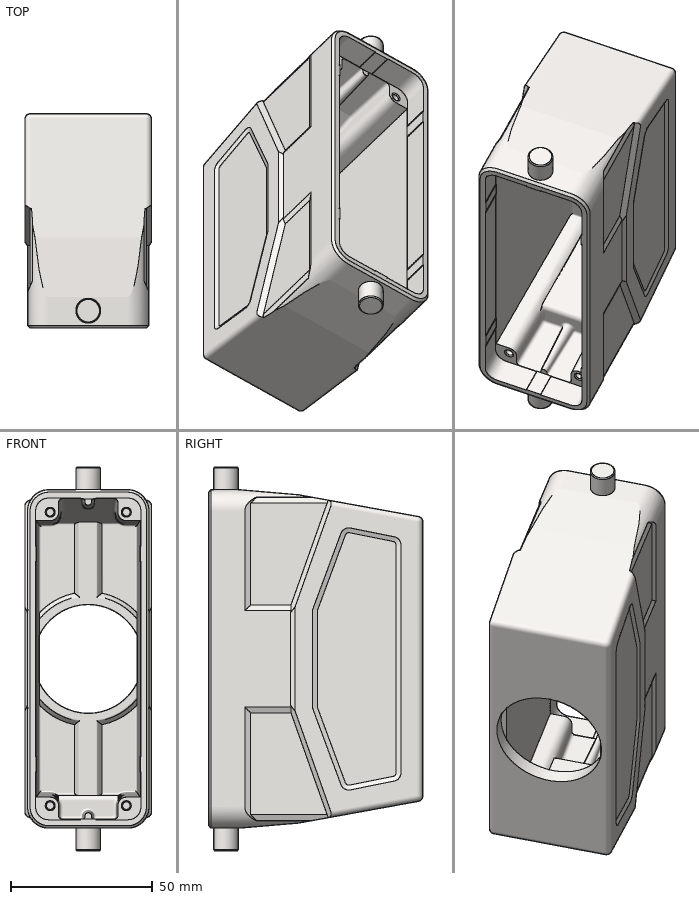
import cadquery as cq
import math

length = 76.0
rear_width = 45.0
front_width = 43.0
front_height = 120.0
corner_radius = 7.5
rim_chamfer = 0.9
far = 100.0

straight_length = 11.0
bend_y = 32.0
bend_half_height = 58.2
rear_half_height = 50.2
rear_round = 2.0

panel_tip_y = 30.7
panel_tip_half_height = 18.5
panel_slant = 0.355
panel_slant_edge_run = 1.7
panel_tip_edge_run = 3.1

recess_wall_angle = 66.0
recess_wall_run = 1.7

pocket_floor_x = 20.6
pocket_floor_front_y = 14.9
pocket_floor_low_z = 19.1
pocket_edge_x = 19.7
pocket_edge_z = 57.2
pocket_floor_high_z = 55.2

field_rear_y = 68.2
field_rear_half_height = 42.8
field_peak_y = 47.8
field_peak_half_height = 46.9
field_tip_y = 36.9
field_tip_half_height = 17.5
field_corner_radius = 3.0

mouth_half_width = 18.65
mouth_half_height = 57.0
mouth_depth = 9.2
mouth_corner_radius = 4.5
floor_y = 73.0
floor_half_width = 17.3
floor_half_height = 48.0
chamber_step = 0.2
chamber_slope_y = 30.0
floor_round = 0.6
boss_root_round = 1.3
ledge_root_round = 1.0
tab_root_round = 0.8

pad_width = 5.5
pad_height = 0.25
side_pad_z = 37.3

screw_x = 13.5
screw_z = 52.0
boss_radius = 3.0
boss_draft = 1.5
boss_inner_x = screw_x - boss_radius
boss_inner_z = screw_z - boss_radius
screw_diameter = 2.7
screw_countersink_diameter = 3.5
screw_depth = 15.0
tab_half_width = 1.2
tab_tip_z = 54.5
tab_draft = 2.2
ledge_y = 31.0
ledge_top_z = -48.4
ledge_round = 1.9

cable_diameter = 38.5
collar_radius = 22.2
rib_half_width = 3.2
rib_height = 2.5
rib_draft = 33.0
rib_round = 0.5

pin_diameter = 8.8
pin_y = 6.2
pin_end_z = 68.0
pin_chamfer = 0.4


def mirrored_outline(upper):
    """Close a (Y, Z) outline from its upper half points."""
    return upper + [(y, -z) for y, z in reversed(upper)]


def mirrored_both_sides(shape):
    """Return the shape together with its mirror image across X = 0."""
    return shape.union(shape.mirror("YZ"))


def mirrored_both_ends(shape):
    """Return the shape together with its mirror image across Z = 0."""
    return shape.union(shape.mirror("XY"))


def rounded_block(half_width, half_height, radius, depth):
    """Block along +Y from the mouth plane with rounded lengthwise edges."""
    block = cq.Workplane("XY").box(2 * half_width, depth, 2 * half_height)
    return block.edges("|Y").fillet(radius).translate((0, depth / 2, 0))


def hull():
    """Side silhouette over the full width, rounded around the cable end."""
    upper = [
        (0, front_height / 2),
        (straight_length, front_height / 2),
        (bend_y, bend_half_height),
        (length, rear_half_height),
    ]
    body = cq.Workplane("YZ").polyline(mirrored_outline(upper)).close().extrude(rear_width / 2, both=True)
    rear_edges = cq.selectors.BoxSelector((-far, bend_y + 1, -far), (far, far, far))
    return body.edges(rear_edges).fillet(rear_round)


def raised_panel():
    """Hexagonal rear panel with sloping front edges, across both sides."""
    upper_rise = front_height / 2 - panel_tip_half_height
    tip_offset = panel_tip_edge_run - panel_slant_edge_run
    base_tip_half_height = panel_tip_half_height - tip_offset / panel_slant
    peak_y = panel_tip_y + panel_slant * upper_rise
    outer = [(length, front_height / 2), (peak_y, front_height / 2), (panel_tip_y, panel_tip_half_height)]
    base = [
        (length, front_height / 2),
        (peak_y - panel_slant_edge_run, front_height / 2),
        (panel_tip_y - panel_tip_edge_run, base_tip_half_height),
    ]
    core = cq.Workplane("YZ").polyline(mirrored_outline(base)).close().extrude(pocket_floor_x)
    edge = (
        cq.Workplane("YZ", origin=(pocket_floor_x, 0, 0))
        .polyline(mirrored_outline(base))
        .close()
        .workplane(offset=rear_width / 2 - pocket_floor_x)
        .polyline(mirrored_outline(outer))
        .close()
        .loft(ruled=True)
    )
    return mirrored_both_sides(core.union(edge))


def side_pockets():
    """Four shallow pockets whose floors slope down to the rounded corners."""
    depth = rear_width / 2 - pocket_edge_x
    run = (rear_width / 2 - pocket_floor_x) * math.tan(math.radians(recess_wall_angle))
    front_y = pocket_floor_front_y - run
    low_z = pocket_floor_low_z - run
    walls = (
        cq.Workplane("YZ")
        .polyline([(front_y, low_z), (length, low_z), (length, far), (front_y, far)])
        .close()
        .extrude(depth, taper=recess_wall_angle)
        .mirror("YZ")
        .translate((rear_width / 2, 0, 0))
    )
    floor = (
        cq.Workplane("XZ")
        .polyline(
            [
                (pocket_floor_x, 0),
                (pocket_floor_x, pocket_floor_high_z),
                (pocket_edge_x, pocket_edge_z),
                (pocket_edge_x, far),
                (far, far),
                (far, 0),
            ]
        )
        .close()
        .extrude(-far)
    )
    return mirrored_both_ends(mirrored_both_sides(walls.intersect(floor)))


def panel_fields():
    """Recessed hexagonal field in each raised panel."""
    upper = [
        (field_rear_y, field_rear_half_height),
        (field_peak_y, field_peak_half_height),
        (field_tip_y, field_tip_half_height),
    ]
    depth = recess_wall_run / math.tan(math.radians(recess_wall_angle))
    prism = cq.Workplane("YZ").polyline(mirrored_outline(upper)).close().extrude(1)
    rounded_edges = cq.selectors.BoxSelector((-far, field_tip_y + 1, -far), (far, far, far))
    outline = prism.edges("|X").edges(rounded_edges).fillet(field_corner_radius).faces("<X").wires().val()
    field = (
        cq.Workplane("YZ")
        .add(outline)
        .toPending()
        .extrude(depth, taper=recess_wall_angle)
        .mirror("YZ")
        .translate((rear_width / 2, 0, 0))
    )
    return mirrored_both_sides(field)


def outer_body():
    """Outside of the hood, still solid."""
    front = rounded_block(front_width / 2, front_height / 2, corner_radius, length)
    front = front.faces("<Y").edges().chamfer(rim_chamfer)
    return front.cut(side_pockets()).union(raised_panel()).intersect(hull()).cut(panel_fields())


def chamber():
    """Drafted main chamber with sloping end walls."""
    start_half_width = mouth_half_width - chamber_step
    start_half_height = mouth_half_height - chamber_step
    upper = [
        (mouth_depth, start_half_height),
        (chamber_slope_y, start_half_height),
        (floor_y, floor_half_height),
    ]
    side = cq.Workplane("YZ").polyline(mirrored_outline(upper)).close().extrude(far, both=True)
    plan = (
        cq.Workplane("XY")
        .polyline(
            [
                (-start_half_width, mouth_depth),
                (start_half_width, mouth_depth),
                (floor_half_width, floor_y),
                (-floor_half_width, floor_y),
            ]
        )
        .close()
        .extrude(far, both=True)
    )
    return side.intersect(plan)


def mouth():
    """Straight opening with low guide pads on its walls."""
    opening = rounded_block(mouth_half_width, mouth_half_height, mouth_corner_radius, mouth_depth)
    pad_reach = 2 * pad_height
    side_pad = cq.Workplane("XY").box(pad_reach, mouth_depth, pad_width)
    side_pad = side_pad.translate((mouth_half_width, mouth_depth / 2, side_pad_z))
    end_pad = cq.Workplane("XY").box(pad_width, mouth_depth, pad_reach)
    end_pad = end_pad.translate((0, mouth_depth / 2, mouth_half_height))
    return opening.cut(mirrored_both_ends(mirrored_both_sides(side_pad))).cut(mirrored_both_ends(end_pad))


def screw_bosses():
    """Corner bosses that widen toward the cable end."""
    boss = (
        cq.Workplane("XZ", origin=(0, mouth_depth, 0))
        .moveTo(screw_x, boss_inner_z)
        .lineTo(front_width / 2, boss_inner_z)
        .lineTo(front_width / 2, front_height / 2)
        .lineTo(boss_inner_x, front_height / 2)
        .lineTo(boss_inner_x, screw_z)
        .radiusArc((screw_x, boss_inner_z), -boss_radius)
        .close()
        .extrude(-(length - mouth_depth), taper=-boss_draft)
    )
    return mirrored_both_ends(mirrored_both_sides(boss))


def end_tabs():
    """Small drafted, round-nosed rails along the middle of both end walls."""
    nose_z = tab_tip_z + tab_half_width
    tab = (
        cq.Workplane("XZ", origin=(0, mouth_depth, 0))
        .moveTo(-tab_half_width, front_height / 2)
        .lineTo(-tab_half_width, nose_z)
        .threePointArc((0, tab_tip_z), (tab_half_width, nose_z))
        .lineTo(tab_half_width, front_height / 2)
        .close()
        .extrude(-(length - mouth_depth), taper=-tab_draft)
    )
    return mirrored_both_ends(tab)


def lower_ledge():
    """Block between the two lower bosses with a rounded upper front edge."""
    depth = length - ledge_y
    height = front_height / 2 + ledge_top_z
    block = cq.Workplane("XY").box(2 * boss_inner_x, depth, height, centered=(True, False, False))
    block = block.edges("<Y and >Z").fillet(ledge_round)
    return block.translate((0, ledge_y, -front_height / 2))


def edges_inside(shape, corner, opposite):
    """Edges whose centres lie in the box between two corners."""
    return shape.edges(cq.selectors.BoxSelector(corner, opposite)).vals()


def boss_root_edges(shape):
    """Lengthwise edges where the bosses meet the end walls."""
    found = []
    for side in (1, -1):
        for end in (1, -1):
            near = (side * (boss_inner_x - 2), mouth_depth + 1, end * (screw_z + 1))
            away = (side * screw_x, floor_y - 1, end * mouth_half_height)
            found += edges_inside(shape, near, away)
    return found


def tab_root_edges(shape):
    """Lengthwise edges where the tabs meet the straight part of the end walls."""
    found = []
    wall_z = mouth_half_height - chamber_step
    reach = boss_inner_x / 2
    for end in (1, -1):
        near = (-reach, mouth_depth + 1, end * (wall_z - 0.1))
        away = (reach, ledge_y, end * (wall_z + 0.1))
        found += edges_inside(shape, near, away)
    return found


def chamber_with_details():
    """Chamber less the bosses, tabs and ledge, with rounded roots."""
    shape = chamber().cut(screw_bosses())
    shape = shape.newObject(boss_root_edges(shape)).fillet(boss_root_round)
    shape = shape.faces(">Y").edges().fillet(floor_round)
    shape = shape.cut(lower_ledge())
    near = (-screw_x, ledge_y - 0.1, -mouth_half_height)
    away = (screw_x, ledge_y + 0.1, -screw_z)
    ledge_foot = edges_inside(shape, near, away)
    shape = shape.newObject(ledge_foot).fillet(ledge_root_round)
    shape = shape.cut(end_tabs())
    return shape.newObject(tab_root_edges(shape)).fillet(tab_root_round)


def raised_profile(half_width):
    """Half section, in X and Y, of a drafted ridge standing on a thin slab under the floor."""
    foot_half_width = half_width + rib_height * math.tan(math.radians(rib_draft))
    slab_y = (floor_y + length) / 2
    slab_half_width = foot_half_width + 2 * rib_round
    return cq.Workplane("XY").polyline(
        [
            (0, floor_y - rib_height),
            (half_width, floor_y - rib_height),
            (foot_half_width, floor_y),
            (slab_half_width, floor_y),
            (slab_half_width, slab_y),
            (0, slab_y),
        ]
    ).close()


def collar_and_rib():
    """Raised collar around the cable opening with a lengthwise rib, both rounded."""
    collar = raised_profile(collar_radius).revolve(360, (0, 0, 0), (0, 1, 0))
    collar = collar.faces("<Y").edges().fillet(rib_round)
    rib = raised_profile(rib_half_width).extrude(front_height / 2, both=True)
    rib = mirrored_both_sides(rib.faces("<Y").edges(">X").fillet(rib_round))
    return collar.union(rib)


def screw_holes():
    """Blind boss holes with a short conical lead-in."""
    lead_in = (screw_countersink_diameter - screw_diameter) / 2
    centre = (screw_x, mouth_depth, screw_z)
    hole = cq.Workplane("XZ", origin=centre).circle(screw_diameter / 2).extrude(-screw_depth)
    cone = (
        cq.Workplane("XZ", origin=centre)
        .circle(screw_countersink_diameter / 2)
        .workplane(offset=-lead_in)
        .circle(screw_diameter / 2)
        .loft()
    )
    return mirrored_both_ends(mirrored_both_sides(hole.union(cone)))


def locking_pins():
    """Round pins standing out of both end walls."""
    root_z = (mouth_half_height + front_height / 2) / 2
    pin = (
        cq.Workplane("XY", origin=(0, pin_y, root_z))
        .circle(pin_diameter / 2)
        .extrude(pin_end_z - root_z)
        .faces(">Z")
        .chamfer(pin_chamfer)
    )
    return mirrored_both_ends(pin)


void = chamber_with_details().union(mouth()).cut(collar_and_rib())
cable_opening = (
    cq.Workplane("XZ", origin=(0, floor_y - rib_height, 0)).circle(cable_diameter / 2).extrude(-far)
)
result = outer_body().cut(void).cut(cable_opening).cut(screw_holes()).union(locking_pins())